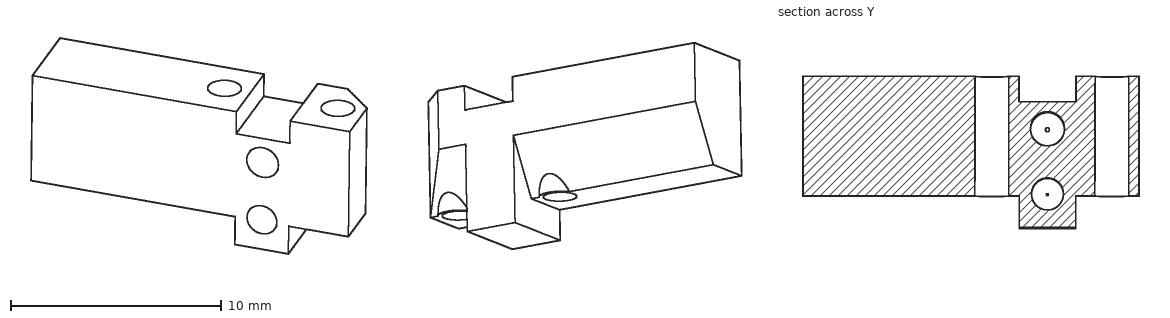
import cadquery as cq
import math

LENGTH = 16.0
DEPTH = 4.0
HEIGHT = 7.2
LEAN_ANGLE = 2.0

TAB_WIDTH = 2.7
TAB_TO_RIGHT_END = 3.0
TAB_DROP = 1.5
SLOT_DEPTH = 1.2
tab_right = LENGTH - TAB_TO_RIGHT_END
tab_left = tab_right - TAB_WIDTH
tab_center = (tab_left + tab_right) / 2

CORNER_BEVEL = 1.5
BACK_BEVEL_DEPTH = 1.49
BACK_BEVEL_HEIGHT = 2.8

BORE_DIAMETER = 1.6
THREAD_DIAMETER = 2.0
SCREW_FROM_RIGHT_END = (1.3, 7.0)
screw_y = DEPTH / 2

DRILL_POINT_ANGLE = 118.0
UPPER_HOLE_BELOW_TOP = 2.5
UPPER_HOLE_DEPTH = 3.0
UPPER_HOLE_TIP_DIAMETER = 0.2
LOWER_HOLE_BELOW_TOP = 5.6
LOWER_HOLE_DIAMETER = 1.5
LOWER_HOLE_DEPTH = 2.5
LOWER_HOLE_TIP_DIAMETER = 0.1


def make_body():
    """Long body with a bevelled lower back edge."""
    profile = [
        (0, TAB_DROP),
        (DEPTH - BACK_BEVEL_DEPTH, TAB_DROP),
        (DEPTH, TAB_DROP + BACK_BEVEL_HEIGHT),
        (DEPTH, HEIGHT),
        (0, HEIGHT),
    ]
    return cq.Workplane("YZ").polyline(profile).close().extrude(LENGTH)


def make_tab():
    """Full-depth tab below the slot, reaching down past the body."""
    tab_height = HEIGHT - SLOT_DEPTH
    tab = cq.Workplane("XY").box(TAB_WIDTH, DEPTH, tab_height, centered=False)
    return tab.translate((tab_left, 0, 0))


def make_slot():
    """Cutter for the slot across the top."""
    slot = cq.Workplane("XY").box(TAB_WIDTH, DEPTH, SLOT_DEPTH, centered=False)
    return slot.translate((tab_left, 0, HEIGHT - SLOT_DEPTH))


def make_corner_cutter():
    """Triangular prism that bevels the vertical back corner at the right end."""
    corner = [
        (LENGTH - CORNER_BEVEL, DEPTH),
        (LENGTH, DEPTH - CORNER_BEVEL),
        (LENGTH, DEPTH),
    ]
    return cq.Workplane("XY").polyline(corner).close().extrude(HEIGHT)


def make_upright_cylinders(diameter):
    """Cylinders at both screw positions, from the body's underside to its top."""
    centers = [(LENGTH - offset, screw_y) for offset in SCREW_FROM_RIGHT_END]
    plane = cq.Workplane("XY").workplane(offset=TAB_DROP)
    return plane.pushPoints(centers).circle(diameter / 2).extrude(HEIGHT - TAB_DROP)


def make_blind_hole(diameter, tip_diameter, depth, below_top):
    """Drilled hole from the front face, its conical end cut off by a small flat tip."""
    radius = diameter / 2
    tip_radius = tip_diameter / 2
    cone_length = (radius - tip_radius) / math.tan(math.radians(DRILL_POINT_ANGLE / 2))
    end_depth = depth + cone_length
    half_section = [(0, 0), (radius, 0), (radius, depth), (tip_radius, end_depth), (0, end_depth)]
    drill = cq.Workplane("XY").polyline(half_section).close().revolve(360, (0, 0), (0, 1))
    return drill.translate((tab_center, 0, HEIGHT - below_top))


block = make_body().union(make_tab()).cut(make_slot()).cut(make_corner_cutter())

block = block.union(make_upright_cylinders(THREAD_DIAMETER))
block = block.cut(make_upright_cylinders(BORE_DIAMETER))

upper_hole = make_blind_hole(
    BORE_DIAMETER, UPPER_HOLE_TIP_DIAMETER, UPPER_HOLE_DEPTH, UPPER_HOLE_BELOW_TOP
)
lower_hole = make_blind_hole(
    LOWER_HOLE_DIAMETER, LOWER_HOLE_TIP_DIAMETER, LOWER_HOLE_DEPTH, LOWER_HOLE_BELOW_TOP
)
block = block.cut(upper_hole).cut(lower_hole)

result = block.rotate((0, 0, 0), (1, 0, 0), -LEAN_ANGLE)